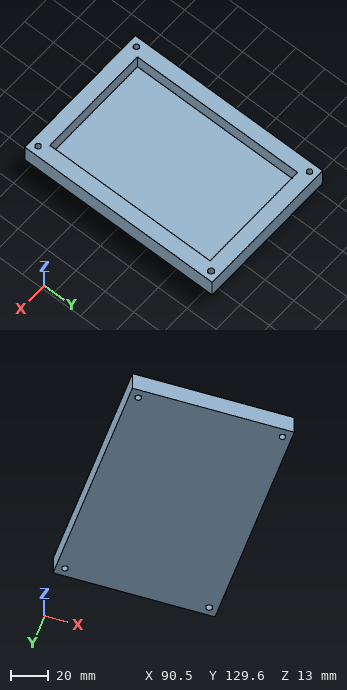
import cadquery as cq

width = 90.5
length = 129.6
height = 13.0

rim = 9.5
pocket_depth = 10.0

hole_spacing_x = 80.5
hole_spacing_y = 119.7
hole_diameter = 3.4
large_hole_diameter = 3.6


def make_tray():
    """Rectangular block resting on Z = 0 with a pocket open at the top."""
    block = cq.Workplane("XY").box(width, length, height, centered=(True, True, False))
    pocket = (
        cq.Workplane("XY")
        .workplane(offset=height - pocket_depth)
        .rect(width - 2 * rim, length - 2 * rim)
        .extrude(pocket_depth)
    )
    return block.cut(pocket)


def make_hole(side_x, side_y):
    """Cutter for the through-hole in the corner given by the signs of X and Y."""
    diameter = large_hole_diameter if side_x > 0 and side_y > 0 else hole_diameter
    x = side_x * hole_spacing_x / 2
    y = side_y * hole_spacing_y / 2
    return cq.Workplane("XY").center(x, y).circle(diameter / 2).extrude(height)


result = make_tray()
for side_x in (-1, 1):
    for side_y in (-1, 1):
        result = result.cut(make_hole(side_x, side_y))